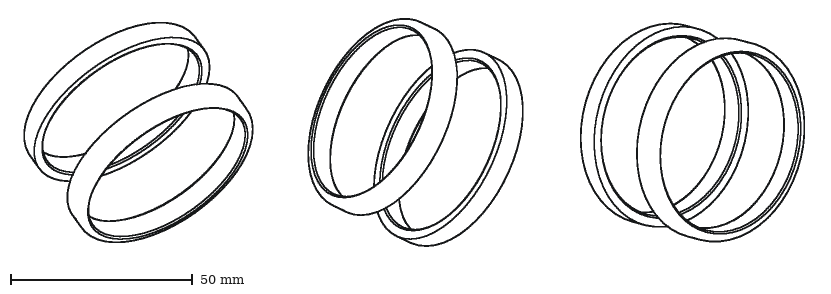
import cadquery as cq

outer_diameter = 56.0
inner_diameter = 50.0
ring_width = 7.0
overall_length = 32.0

outer_round = 2.0
bore_chamfer = 0.5


def make_ring(side):
    """Ring about the X axis on the given side (-1 or +1), with its rounded end facing away from the middle."""
    outer_radius = outer_diameter / 2
    inner_radius = inner_diameter / 2
    ring = (
        cq.Workplane("YZ", origin=(side * overall_length / 2, 0, 0))
        .circle(outer_radius)
        .circle(inner_radius)
        .extrude(-side * ring_width)
    )

    ring = ring.edges("%CIRCLE").edges(cq.selectors.RadiusNthSelector(0)).chamfer(bore_chamfer)

    outward_face = ">X" if side > 0 else "<X"
    return ring.faces(outward_face).edges(cq.selectors.RadiusNthSelector(-1)).fillet(outer_round)


rings = [make_ring(side) for side in (-1, 1)]

result = cq.Compound.makeCompound([ring.solids().val() for ring in rings])